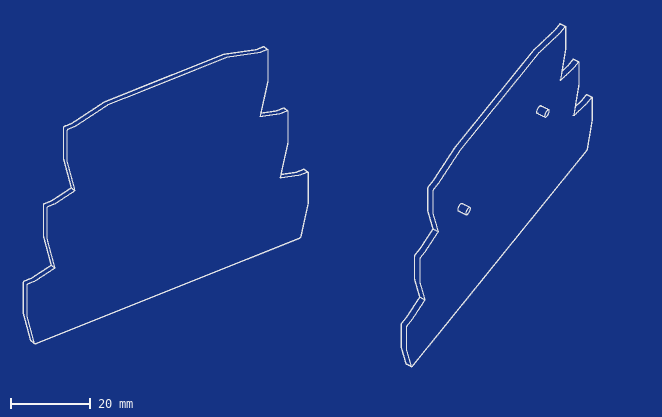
import cadquery as cq
import math

overall_depth = 3.98
base_half_width = 86.84 / 2
overall_height = 63.04

plate_thickness = 1.6
pin_length = overall_depth - plate_thickness
pin_diameter = 2.1
pin_half_spacing = 18.45
pin_height = 40.3

tier_count = 3
tier_rise = 20.8
tier_inset = 6.2
tier_top = 18.92
tier_side_bottom = 9.35
shoulder_width = 2.55
slope = math.tan(math.radians(14))
shoulder_radius = 0.35
bottom_radius = 0.6


def tier_points(index):
    """Side and shoulder of one tier on the +Y half, from bottom to top."""
    half_width = base_half_width - index * tier_inset
    side_bottom = tier_side_bottom + index * tier_rise
    shoulder = tier_top + index * tier_rise
    return [
        (half_width, side_bottom),
        (half_width, shoulder),
        (half_width - shoulder_width, shoulder),
    ]


def notch_point(index):
    """Inner corner where a tier's sloping shoulder meets the tapered side above it."""
    slope_start_y, slope_start_z = tier_points(index)[-1]
    side_y, side_z = tier_points(index + 1)[0]
    z = (slope_start_z + slope * (slope_start_y - side_y + slope * side_z)) / (1 + slope ** 2)
    y = side_y - slope * (side_z - z)
    return (y, z)


def half_outline():
    """Corner points of the +Y half of the plate, from the bottom edge to the top edge."""
    points = [(base_half_width - slope * tier_side_bottom, 0)]
    for index in range(tier_count):
        points += tier_points(index)
        if index < tier_count - 1:
            points.append(notch_point(index))
    slope_start_y, slope_start_z = points[-1]
    top_half_width = slope_start_y - (overall_height - slope_start_z) / slope
    points.append((top_half_width, overall_height))
    return points


def rounded_corners():
    """Outer corners of the +Y half that are rounded, each with its radius."""
    corners = [(half_outline()[0], bottom_radius)]
    for index in range(tier_count):
        shoulder_corner = tier_points(index)[1]
        corners.append((shoulder_corner, shoulder_radius))
    return corners


def make_plate():
    right_side = half_outline()
    left_side = [(-y, z) for y, z in reversed(right_side)]
    plate = cq.Workplane("YZ").polyline(right_side + left_side).close().extrude(plate_thickness)
    for (y, z), radius in rounded_corners():
        for side in (1, -1):
            edge_middle = (plate_thickness / 2, side * y, z)
            plate = plate.edges(cq.NearestToPointSelector(edge_middle)).fillet(radius)
    return plate


def make_pins():
    """Two locating pins standing on the -X face."""
    pin_centres = [(-pin_half_spacing, pin_height), (pin_half_spacing, pin_height)]
    return cq.Workplane("YZ").pushPoints(pin_centres).circle(pin_diameter / 2).extrude(-pin_length)


result = make_plate().union(make_pins())